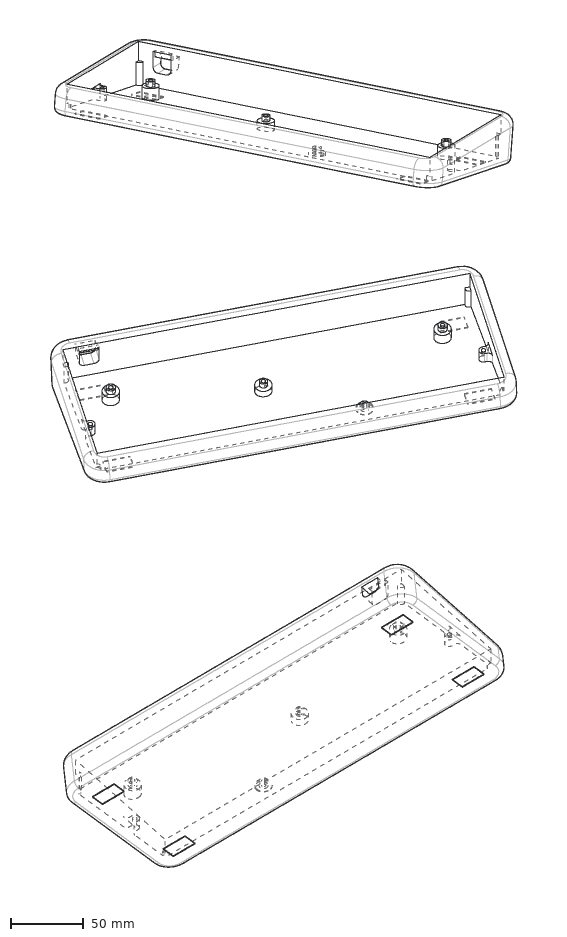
import cadquery as cq
import math

width = 305.5
base_length = 120.0
slope = 8.0
rear_edge_y = 57.0
rear_edge_z = -35.5
corner_radius = 14.7
rim_radius = 7.0
base_radius = 4.0

cavity_width = 287.7
cavity_front_y = -48.3
cavity_rear_y = 49.2
floor_thickness = 3.0

seat_z = -18.0
pillar_top_z = -14.0
boss_diameter = 12.0
wide_pin_diameter = 6.5
narrow_pin_diameter = 5.5
screw_hole_diameter = 3.0
rear_boss_x = 117.3
rear_boss_y = 20.0
locating_boss = (-14.5, 0.0)
front_boss = (48.0, -37.3)
post_diameter = 5.5
rear_post_inset = 1.0

side_boss_x = 139.0
side_boss_y = -9.2
side_boss_diameter = 6.5
web_fillet = 3.0

outlet_x = -125.2
outlet_bottom_z = -20.5
outlet_width = 14.0
outlet_height = 15.3
port_length = 18.3
port_height = 10.5
port_corner_radius = 3.7
recess_depth = 2.7

foot_length = 19.2
foot_width = 11.0
foot_depth = 0.5
foot_x = 127.7
foot_front = 18.3
foot_rear = 96.2

rise = math.tan(math.radians(slope))


def floor_z(y):
    """Height of the cavity floor at a given Y."""
    return rear_edge_z + floor_thickness + (rear_edge_y - y) * rise


def tilt(shape):
    """Move a shape from base axes (origin on the rear edge, Z square to the base) into place."""
    return shape.rotate((0, 0, 0), (1, 0, 0), -slope).translate((0, rear_edge_y, rear_edge_z))


def case_body():
    block_height = 2 * abs(rear_edge_z)
    block = cq.Workplane("XY").box(width, base_length, block_height, centered=(True, True, False))
    block = block.translate((0, -base_length / 2, 0)).edges("|Z").fillet(corner_radius)
    above_rim = cq.Workplane("XY").box(2 * width, 2 * width, 2 * width, centered=(True, True, False))
    body = tilt(block).cut(above_rim)
    body = body.faces(">Z").edges().fillet(rim_radius)
    base_down = cq.Vector(0, -math.sin(math.radians(slope)), -math.cos(math.radians(slope)))
    base_face = body.faces(cq.selectors.DirectionMinMaxSelector(base_down))
    return base_face.edges().fillet(base_radius)


def cavity():
    profile = [
        (cavity_front_y, 0),
        (cavity_rear_y, 0),
        (cavity_rear_y, floor_z(cavity_rear_y)),
        (cavity_front_y, floor_z(cavity_front_y)),
    ]
    return cq.Workplane("YZ").polyline(profile).close().extrude(cavity_width / 2, both=True)


def pillar(x, y, diameter, top_z):
    """Round pillar rooted halfway into the floor."""
    root_z = floor_z(y) - floor_thickness / 2
    return cq.Workplane("XY", origin=(x, y, root_z)).circle(diameter / 2).extrude(top_z - root_z)


def screw_hole(x, y):
    """Blind hole from the pillar tip down to the boss seat."""
    bore = cq.Workplane("XY", origin=(x, y, seat_z)).circle(screw_hole_diameter / 2)
    return bore.extrude(pillar_top_z - seat_z)


def board_boss(x, y, pin_diameter):
    boss = pillar(x, y, boss_diameter, seat_z)
    return boss.union(pillar(x, y, pin_diameter, pillar_top_z)).cut(screw_hole(x, y))


def side_boss(side):
    """Screw boss with a flared web to the wall; side is -1 for left and +1 for right."""
    half = side_boss_diameter / 2
    wall_x = cavity_width / 2
    neck_x = wall_x - web_fillet
    flare = half + web_fillet
    arc_mid = web_fillet * math.sqrt(0.5)
    root_z = floor_z(side_boss_y) - floor_thickness / 2
    web = (
        cq.Workplane("XY", origin=(0, side_boss_y, root_z))
        .moveTo(side_boss_x, -half)
        .lineTo(neck_x, -half)
        .threePointArc((neck_x + arc_mid, -flare + arc_mid), (wall_x, -flare))
        .lineTo(wall_x, flare)
        .threePointArc((neck_x + arc_mid, flare - arc_mid), (neck_x, half))
        .lineTo(side_boss_x, half)
        .close()
        .extrude(pillar_top_z - root_z)
    )
    boss = web.union(pillar(side_boss_x, side_boss_y, side_boss_diameter, pillar_top_z))
    boss = boss.cut(screw_hole(side_boss_x, side_boss_y))
    return boss if side > 0 else boss.mirror("YZ")


def cable_outlet():
    """Round-bottomed port through the rear wall, with a shallow recess above it on the inside."""
    port = cq.Workplane("XY").box(outlet_width, port_length, port_height, centered=(True, False, False))
    port = port.edges("|Y and <Z").fillet(port_corner_radius)
    recess = cq.Workplane("XY", origin=(0, 0, port_height / 2)).box(
        outlet_width, recess_depth, outlet_height - port_height / 2, centered=(True, False, False)
    )
    return port.union(recess).translate((outlet_x, cavity_rear_y, outlet_bottom_z))


def foot_recesses():
    spots = [(x, y - base_length) for x in (-foot_x, foot_x) for y in (foot_front, foot_rear)]
    return tilt(cq.Workplane("XY").pushPoints(spots).rect(foot_length, foot_width).extrude(foot_depth))


result = case_body().cut(cavity()).cut(cable_outlet()).cut(foot_recesses())

for side in (-1, 1):
    corner_x = side * cavity_width / 2
    rear_post_x = corner_x - side * rear_post_inset
    rear_post_y = cavity_rear_y - rear_post_inset
    result = result.union(pillar(rear_post_x, rear_post_y, post_diameter, pillar_top_z))
    result = result.union(pillar(corner_x, cavity_front_y, post_diameter, pillar_top_z))
    result = result.union(board_boss(side * rear_boss_x, rear_boss_y, wide_pin_diameter))
    result = result.union(side_boss(side))

result = result.union(board_boss(*locating_boss, narrow_pin_diameter))
result = result.union(board_boss(*front_boss, wide_pin_diameter))